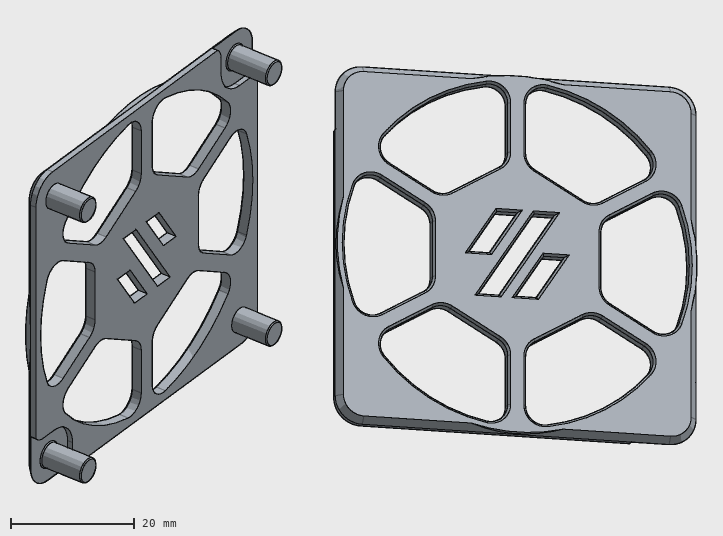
import math

import cadquery as cq


SIDE = 60.0
HALF_SIDE = SIDE / 2
THICKNESS = 2.2
CORNER_RADIUS = 4.5
RIM_BEVEL = THICKNESS / 2
DISC_RADIUS = 29.9

OPENING_COUNT = 6
OPENING_RADIUS = 28.7
HUB_APOTHEM = 14.0
RIB_HALF_WIDTH = 1.5
OPENING_FILLET = 3.0
OPENING_CHAMFER = 0.4

SLOT_WIDTH = 3.4
SLOT_HALF_HEIGHT = 7.0
SHORT_SLOT_INNER_END = 0.0
SLOT_PITCH = 6.2
SLOT_LEAN = math.radians(33.3)

TOTAL_DEPTH = 9.2
PIN_DIAMETER = 4.4
PIN_OFFSET = 25.15
PIN_TIP_CHAMFER = 0.2
PIN_FOOT_FLARE = 0.2

RECESS_FLOOR = 1.2
RECESS_WALL = 20.1
RECESS_INNER_RADIUS = 5.0
RECESS_MOUTH_START = 28.05
RECESS_MOUTH_RADIUS = 2.5


def make_plate():
    """Rounded square with a bevelled front rim, and a disc that reaches out through the bevel."""
    plate = (
        cq.Workplane("YZ")
        .rect(SIDE, SIDE)
        .extrude(THICKNESS)
        .edges("|X")
        .fillet(CORNER_RADIUS)
        .faces("<X")
        .chamfer(RIM_BEVEL)
    )
    disc = cq.Workplane("YZ").circle(DISC_RADIUS).extrude(THICKNESS)
    return plate.union(disc)


def make_opening(index):
    """Cutter for one air opening, bounded by two ribs, a hub side and the outer circle."""
    half_angle = math.pi / OPENING_COUNT
    inner_half_width = (HUB_APOTHEM * math.sin(half_angle) - RIB_HALF_WIDTH) / math.cos(half_angle)
    outer_angle = half_angle - math.asin(RIB_HALF_WIDTH / OPENING_RADIUS)
    outer_y = OPENING_RADIUS * math.cos(outer_angle)
    outer_z = OPENING_RADIUS * math.sin(outer_angle)
    sector = (
        cq.Workplane("YZ")
        .moveTo(HUB_APOTHEM, -inner_half_width)
        .lineTo(outer_y, -outer_z)
        .threePointArc((OPENING_RADIUS, 0), (outer_y, outer_z))
        .lineTo(HUB_APOTHEM, inner_half_width)
        .close()
        .extrude(THICKNESS)
        .edges("|X")
        .fillet(OPENING_FILLET)
    )
    return sector.rotate((0, 0, 0), (1, 0, 0), index * 360 / OPENING_COUNT)


def make_slot(shift, bottom, top):
    """Cutter for one slanted slot; shift moves it along -Y, bottom and top are Z heights."""

    def centre_y(z):
        return -shift - z * math.tan(SLOT_LEAN)

    half_width = SLOT_WIDTH / 2
    corners = [
        (centre_y(bottom) - half_width, bottom),
        (centre_y(bottom) + half_width, bottom),
        (centre_y(top) + half_width, top),
        (centre_y(top) - half_width, top),
    ]
    return cq.Workplane("YZ").polyline(corners).close().extrude(THICKNESS)


def cut_openings(plate):
    """Cut the air openings and the slots, then chamfer their front edges."""
    for index in range(OPENING_COUNT):
        plate = plate.cut(make_opening(index))
    plate = plate.cut(make_slot(-SLOT_PITCH, -SHORT_SLOT_INNER_END, SLOT_HALF_HEIGHT))
    plate = plate.cut(make_slot(0, -SLOT_HALF_HEIGHT, SLOT_HALF_HEIGHT))
    plate = plate.cut(make_slot(SLOT_PITCH, -SLOT_HALF_HEIGHT, SHORT_SLOT_INNER_END))

    front_face = plate.faces("<X").val()
    front_edges = [edge for wire in front_face.innerWires() for edge in wire.Edges()]
    return plate.newObject(front_edges).chamfer(OPENING_CHAMFER)


def make_recess():
    """Cutter for the recess in the +Y +Z corner, symmetric about the corner's diagonal."""
    wall = RECESS_WALL
    mouth = RECESS_MOUTH_START
    edge_angle = math.asin((HALF_SIDE - mouth) / RECESS_MOUTH_RADIUS)
    edge_wall = wall - RECESS_MOUTH_RADIUS * (1 - math.cos(edge_angle))
    middle = mouth + RECESS_MOUTH_RADIUS * math.sin(edge_angle / 2)
    middle_wall = wall - RECESS_MOUTH_RADIUS * (1 - math.cos(edge_angle / 2))
    return (
        cq.Workplane("YZ", origin=(RECESS_FLOOR, 0, 0))
        .moveTo(HALF_SIDE, HALF_SIDE)
        .lineTo(edge_wall, HALF_SIDE)
        .threePointArc((middle_wall, middle), (wall, mouth))
        .lineTo(wall, wall + RECESS_INNER_RADIUS)
        .radiusArc((wall + RECESS_INNER_RADIUS, wall), -RECESS_INNER_RADIUS)
        .lineTo(mouth, wall)
        .threePointArc((middle, middle_wall), (HALF_SIDE, edge_wall))
        .close()
        .extrude(THICKNESS - RECESS_FLOOR)
    )


def make_pin(y, z):
    """One pin from the depth of the recess floor, with a flared foot and a chamfered tip."""
    radius = PIN_DIAMETER / 2
    profile = [
        (RECESS_FLOOR, 0),
        (RECESS_FLOOR, radius + PIN_FOOT_FLARE),
        (RECESS_FLOOR + PIN_FOOT_FLARE, radius),
        (TOTAL_DEPTH - PIN_TIP_CHAMFER, radius),
        (TOTAL_DEPTH, radius - PIN_TIP_CHAMFER),
        (TOTAL_DEPTH, 0),
    ]
    pin = cq.Workplane("XY").polyline(profile).close().revolve(360, (0, 0), (1, 0))
    return pin.translate((0, y, z))


result = cut_openings(make_plate())
recess = make_recess()
for turn in (0, 180):
    result = result.cut(recess.rotate((0, 0, 0), (1, 0, 0), turn))
for pin_y in (-PIN_OFFSET, PIN_OFFSET):
    for pin_z in (-PIN_OFFSET, PIN_OFFSET):
        result = result.union(make_pin(pin_y, pin_z))